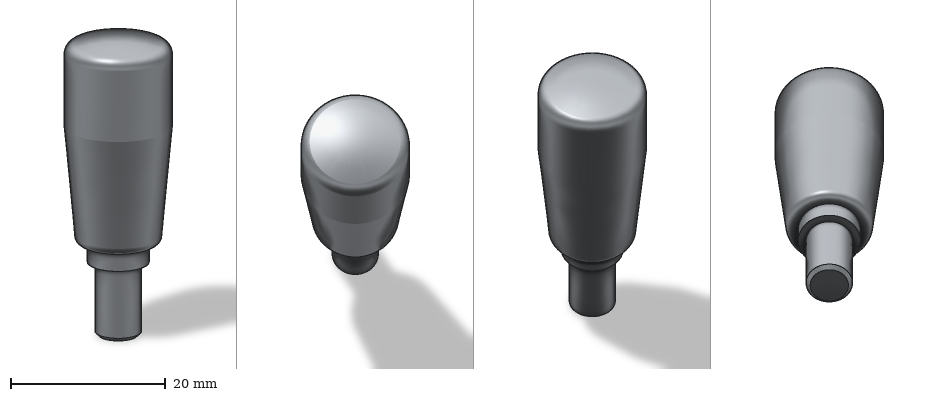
import cadquery as cq
import math

total_height = 40.5
stud_length = 9.95
collar_height = 2.55
taper_top = 28.5
dome_height = 0.75

stud_radius = 3.0
collar_radius = 4.0
grip_radius = 7.0
grip_bottom_radius = 5.63
dome_radius = 5.87

stud_chamfer = 0.53
lower_rounding = 1.0
shoulder_height = 1.58

grip_bottom = stud_length + collar_height
taper_bottom = grip_bottom + lower_rounding
dome_base = total_height - dome_height
shoulder_base = dome_base - shoulder_height


def shoulder_midpoint():
    """Middle of the circular shoulder arc, which is tangent to the straight grip wall."""
    inset = grip_radius - dome_radius
    arc_radius = (inset**2 + shoulder_height**2) / (2 * inset)
    half_angle = math.asin(shoulder_height / arc_radius) / 2
    center_radius = grip_radius - arc_radius
    return (
        center_radius + arc_radius * math.cos(half_angle),
        shoulder_base + arc_radius * math.sin(half_angle),
    )


def dome_midpoint():
    """Middle of the dome arc, whose center lies on the axis."""
    sphere_radius = (dome_radius**2 + dome_height**2) / (2 * dome_height)
    half_angle = math.asin(dome_radius / sphere_radius) / 2
    center_height = total_height - sphere_radius
    return (
        sphere_radius * math.sin(half_angle),
        center_height + sphere_radius * math.cos(half_angle),
    )


def lower_rounding_points():
    """Middle and inner end of the rounding, which is tangent to the flat underside and the taper."""
    taper_angle = math.atan2(grip_radius - grip_bottom_radius, taper_top - taper_bottom)
    arc_radius = lower_rounding / (1 - math.sin(taper_angle))
    center_radius = grip_bottom_radius - arc_radius * math.cos(taper_angle)
    center_height = grip_bottom + arc_radius
    middle_angle = -(taper_angle + math.pi / 2) / 2
    middle = (
        center_radius + arc_radius * math.cos(middle_angle),
        center_height + arc_radius * math.sin(middle_angle),
    )
    return middle, (center_radius, grip_bottom)


rounding_middle, rounding_end = lower_rounding_points()

profile = (
    cq.Workplane("XZ")
    .moveTo(0, 0)
    .lineTo(stud_radius - stud_chamfer, 0)
    .lineTo(stud_radius, stud_chamfer)
    .lineTo(stud_radius, stud_length)
    .lineTo(collar_radius, stud_length)
    .lineTo(collar_radius, grip_bottom)
    .lineTo(*rounding_end)
    .threePointArc(rounding_middle, (grip_bottom_radius, taper_bottom))
    .lineTo(grip_radius, taper_top)
    .lineTo(grip_radius, shoulder_base)
    .threePointArc(shoulder_midpoint(), (dome_radius, dome_base))
    .threePointArc(dome_midpoint(), (0, total_height))
    .close()
)

result = profile.revolve(360, (0, 0, 0), (0, 1, 0))